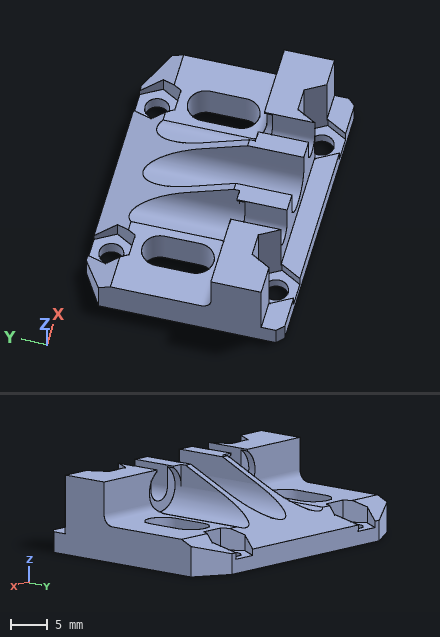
import cadquery as cq
import math

length = 40.0
depth = 28.8
height = 11.0

step_height = 2.9
step_depth = 3.05
slope_start = 10.9

front_chamfer = 1.0
back_chamfer_x = 5.0
back_chamfer_y = 3.0

ledge_front = 10.1
ledge_height = 5.0
ledge_fillet = 1.5

screw_x = 12.5
nut_across_flats = 5.8
front_nut_floor = 1.5
back_nut_floor = 2.0
screw_diameter = 3.35

slot_length = 10.0
slot_width = 5.0
slot_y = 16.6

channel_axis_height = 8.0
channel_radius = 3.25
side_channel_x = 7.5
side_neck_radius = 1.7
side_bore_front = 8.95

half_length = length / 2
nut_across_corners = nut_across_flats / math.cos(math.pi / 6)
screw_inset = nut_across_flats / 2
front_screw_y = screw_inset
back_screw_y = depth - screw_inset


def make_body():
    """Stepped, sloped profile trimmed to the chamfered plan outline."""
    profile = (
        cq.Workplane("YZ")
        .polyline([
            (0, 0),
            (depth, 0),
            (depth, step_height),
            (slope_start, height),
            (step_depth, height),
            (step_depth, step_height),
            (0, step_height),
        ])
        .close()
        .extrude(half_length, both=True)
    )
    plan = (
        cq.Workplane("XY")
        .polyline([
            (-half_length + front_chamfer, 0),
            (half_length - front_chamfer, 0),
            (half_length, front_chamfer),
            (half_length, depth - back_chamfer_y),
            (half_length - back_chamfer_x, depth),
            (-half_length + back_chamfer_x, depth),
            (-half_length, depth - back_chamfer_y),
            (-half_length, front_chamfer),
        ])
        .close()
        .extrude(height)
    )
    return profile.intersect(plan)


def make_bore(x, radius, start, end):
    """Round cutter along Y at the channel axis height."""
    return (
        cq.Workplane("XZ", origin=(x, start, channel_axis_height))
        .circle(radius)
        .extrude(start - end)
    )


def make_channel(x, radius, start, end):
    """Cutter along Y: a round-bottomed trough open to the top."""
    run = end - start
    open_top = cq.Workplane("XY").box(2 * radius, run, height, centered=(True, False, False))
    open_top = open_top.translate((x, start, channel_axis_height))
    return make_bore(x, radius, start, end).union(open_top)


def make_ledge_cut(side):
    """Cutter from a side channel outwards, rounded at its lower front edge."""
    width = half_length - side_channel_x
    return (
        cq.Workplane("XY")
        .box(width, depth, height, centered=(True, False, False))
        .edges("|X and <Y and <Z")
        .fillet(ledge_fillet)
        .translate((side * (side_channel_x + width / 2), ledge_front, ledge_height))
    )


result = make_body()

result = result.cut(make_channel(0, channel_radius, 0, depth))
for side in (-1, 1):
    x = side * side_channel_x
    result = result.cut(make_ledge_cut(side))
    result = result.cut(make_channel(x, channel_radius, ledge_front, depth))
    result = result.cut(make_bore(x, channel_radius, side_bore_front, ledge_front))
    result = result.cut(make_channel(x, side_neck_radius, 0, ledge_front))

for y, nut_floor in ((front_screw_y, front_nut_floor), (back_screw_y, back_nut_floor)):
    screw_points = [(-screw_x, y), (screw_x, y)]
    nut_pockets = (
        cq.Workplane("XY", origin=(0, 0, nut_floor))
        .pushPoints(screw_points)
        .polygon(6, nut_across_corners)
        .extrude(height)
    )
    screw_holes = (
        cq.Workplane("XY")
        .pushPoints(screw_points)
        .circle(screw_diameter / 2)
        .extrude(height)
    )
    result = result.cut(nut_pockets).cut(screw_holes)

slots = (
    cq.Workplane("XY")
    .pushPoints([(-screw_x, slot_y), (screw_x, slot_y)])
    .slot2D(slot_length, slot_width, 90)
    .extrude(height)
)
result = result.cut(slots)